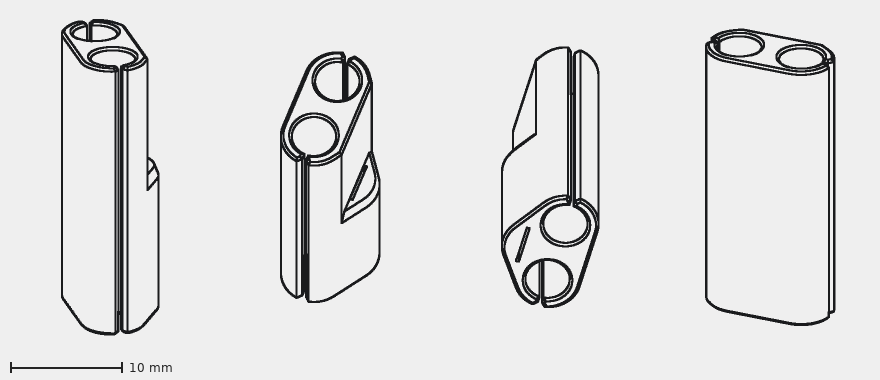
import cadquery as cq
import math

height = 26.0
outer_radius = 3.0
bore_radius = 2.0
bore_offset = 3.02
edge_chamfer = 0.23

ridge_height = 14.0
overall_depth = 7.98
ridge_chamfer_inset = 0.4
ridge_chamfer_height = 1.0
ridge_axis_y = overall_depth - 2 * outer_radius

slit_width = 0.4
slit_mouth_half = 0.57
slit_mouth_depth = 0.4
slit_mouth_x = math.sqrt(outer_radius**2 - slit_mouth_half**2) + bore_offset

strap_width = 3.65
strap_thickness = 0.25
strap_gap = 0.03

flank_angle = math.atan2(ridge_axis_y, bore_offset)
tangent_x = outer_radius * math.sin(flank_angle)
tangent_y = outer_radius * math.cos(flank_angle)


def make_rounded_block():
    width = 2 * (bore_offset + outer_radius)
    return cq.Workplane("XY").slot2D(width, 2 * outer_radius).extrude(height)


def make_ridge_prism(length):
    """Prism with a rounded crest and flanks tangent to the block's round ends."""
    crest_y = ridge_axis_y + tangent_y
    foot_x = bore_offset + tangent_x
    return (
        cq.Workplane("XY")
        .moveTo(-foot_x, 0)
        .lineTo(-foot_x, tangent_y)
        .lineTo(-tangent_x, crest_y)
        .threePointArc((0, ridge_axis_y + outer_radius), (tangent_x, crest_y))
        .lineTo(foot_x, tangent_y)
        .lineTo(foot_x, 0)
        .close()
        .extrude(length)
    )


def make_shoulders():
    """Full-height roots of the ridge flanks, cut off level with the flat +Y side."""
    width = 2 * (bore_offset + outer_radius)
    envelope = cq.Workplane("XY").rect(width, 2 * outer_radius).extrude(height)
    return make_ridge_prism(height).intersect(envelope)


def make_ridge():
    """Ridge with a steep chamfer around its top, on the crest and both flanks."""
    ridge = make_ridge_prism(ridge_height)
    crest_zone = cq.selectors.BoxSelector(
        (-bore_offset, tangent_y, 0), (bore_offset, overall_depth, height)
    )
    crest_edges = ridge.faces(">Z").edges(crest_zone).vals()
    return cq.Workplane(ridge.val().chamfer(ridge_chamfer_height, ridge_chamfer_inset, crest_edges))


def make_slit(side):
    """Slit through the outer wall of one bore, flared at its mouth."""
    half = slit_width / 2
    inner_x = bore_offset
    throat_x = slit_mouth_x - slit_mouth_depth
    outside_x = bore_offset + 2 * outer_radius
    points = [
        (inner_x, -half),
        (throat_x, -half),
        (slit_mouth_x, -slit_mouth_half),
        (outside_x, -slit_mouth_half),
        (outside_x, slit_mouth_half),
        (slit_mouth_x, slit_mouth_half),
        (throat_x, half),
        (inner_x, half),
    ]
    return cq.Workplane("XY").polyline([(side * x, y) for x, y in points]).close().extrude(height)


result = make_rounded_block().union(make_shoulders()).union(make_ridge())

bore_centers = [(-bore_offset, 0), (bore_offset, 0)]
result = result.cut(cq.Workplane("XY").pushPoints(bore_centers).circle(bore_radius).extrude(height))
for side in (-1, 1):
    result = result.cut(make_slit(side))

result = result.faces(">Z or <Z").edges().chamfer(edge_chamfer)

strap_y = outer_radius + strap_gap + strap_thickness / 2
strap_slot = (
    cq.Workplane("XY").center(0, strap_y).rect(strap_width, strap_thickness).extrude(ridge_height)
)
result = result.cut(strap_slot)